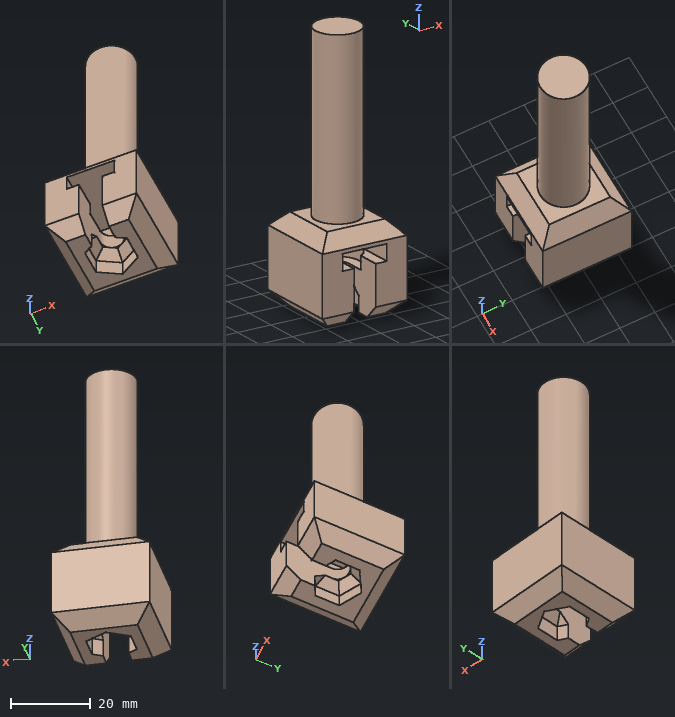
import cadquery as cq
import math

BLOCK_SIDE = 25.4
RIM_CHAMFER = 4.0

TOTAL_HEIGHT = 76.2
SHAFT_DIAMETER = 13.21

STEM_WIDTH = 6.5
STEM_END_Y = 0.0
CROSSBAR_WIDTH = SHAFT_DIAMETER
CROSSBAR_END_Y = CROSSBAR_WIDTH / 2
CROSSBAR_FLOOR_Z = 15.65
CROSSBAR_ROOF_Z = 20.32

COUNTERBORE_DIAMETER = SHAFT_DIAMETER
COUNTERBORE_FLOOR_Z = 11.81
BORE_DIAMETER = STEM_WIDTH

HEX_WALL_HEIGHT = 4.57
HEX_TOP_Z = 7.11
HEX_TAPER_HEIGHT = HEX_TOP_Z - HEX_WALL_HEIGHT
HEX_TAPER_ANGLE = 45.0
HEX_TAPER_INSET = HEX_TAPER_HEIGHT * math.tan(math.radians(HEX_TAPER_ANGLE))
HEX_ACROSS_FLATS = BORE_DIAMETER + 2 * HEX_TAPER_INSET
HEX_ACROSS_CORNERS = HEX_ACROSS_FLATS / math.cos(math.pi / 6)
HEX_TURN = 90


def make_block():
    """Cube on the XY plane with chamfered top and bottom rims."""
    block = cq.Workplane("XY").box(BLOCK_SIDE, BLOCK_SIDE, BLOCK_SIDE, centered=(True, True, False))
    return block.faces("<Z or >Z").edges().chamfer(RIM_CHAMFER)


def make_cylinder(diameter, bottom_z, top_z):
    """Vertical cylinder on the part's axis."""
    return cq.Workplane("XY").workplane(offset=bottom_z).circle(diameter / 2).extrude(top_z - bottom_z)


def make_slot(width, end_y, bottom_z, top_z):
    """Rectangular channel running from the -Y face to end_y."""
    front_y = -BLOCK_SIDE / 2
    size = (width, end_y - front_y, top_z - bottom_z)
    return cq.Workplane("XY").box(*size, centered=(True, False, False)).translate((0, front_y, bottom_z))


def make_hexagon(bottom_z):
    """Hexagon outline with two corners in the YZ plane."""
    plane = cq.Workplane("XY").workplane(offset=bottom_z).transformed(rotate=(0, 0, HEX_TURN))
    return plane.polygon(6, HEX_ACROSS_CORNERS)


def make_hex_socket():
    """Straight hexagonal socket that narrows towards the bore."""
    walls = make_hexagon(0).extrude(HEX_WALL_HEIGHT)
    roof = make_hexagon(HEX_WALL_HEIGHT).extrude(HEX_TAPER_HEIGHT, taper=HEX_TAPER_ANGLE)
    return walls.union(roof)


result = (
    make_block()
    .union(make_cylinder(SHAFT_DIAMETER, BLOCK_SIDE, TOTAL_HEIGHT))
    .cut(make_slot(STEM_WIDTH, STEM_END_Y, 0, CROSSBAR_FLOOR_Z))
    .cut(make_slot(CROSSBAR_WIDTH, CROSSBAR_END_Y, CROSSBAR_FLOOR_Z, CROSSBAR_ROOF_Z))
    .cut(make_cylinder(COUNTERBORE_DIAMETER, COUNTERBORE_FLOOR_Z, CROSSBAR_FLOOR_Z))
    .cut(make_cylinder(BORE_DIAMETER, HEX_TOP_Z, COUNTERBORE_FLOOR_Z))
    .cut(make_hex_socket())
)